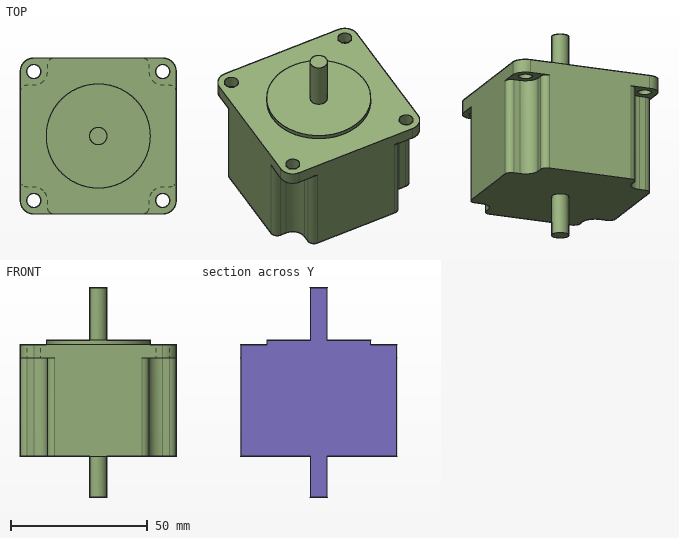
import cadquery as cq

total_length = 76.7
flange_width = 57.15
flange_thickness = 5.0
flange_corner_radius = 5.0
body_length = 36.0
pilot_diameter = 38.1
pilot_height = 1.6
shaft_diameter = 6.4
rear_shaft_length = 14.95
hole_diameter = 5.1
hole_spacing = 47.2
relief_radius = 5.0
relief_edge_radius = 2.5

half_width = flange_width / 2
hole_offset = hole_spacing / 2
flange_top = body_length + flange_thickness


def make_body():
    """Square body whose corners are cut back to clear the mounting screws."""
    body = cq.Workplane("XY").rect(flange_width, flange_width).extrude(body_length)
    notch_inner = hole_offset - relief_radius
    notch_width = half_width - notch_inner
    notch_center = (half_width + notch_inner) / 2
    for side_x in (-1, 1):
        for side_y in (-1, 1):
            notch = (
                cq.Workplane("XY")
                .center(side_x * notch_center, side_y * notch_center)
                .rect(notch_width, notch_width)
                .extrude(body_length)
            )
            inner_edge = cq.selectors.NearestToPointSelector(
                (side_x * notch_inner, side_y * notch_inner, body_length / 2)
            )
            body = body.cut(notch.edges(inner_edge).fillet(relief_radius))

    outer_edges = body.edges("|Z").edges("<X or >X or <Y or >Y")
    return outer_edges.fillet(relief_edge_radius)


def make_flange():
    """Square mounting flange with rounded corners and four through holes."""
    return (
        cq.Workplane("XY", origin=(0, 0, body_length))
        .rect(flange_width, flange_width)
        .extrude(flange_thickness)
        .edges("|Z")
        .fillet(flange_corner_radius)
        .faces(">Z")
        .workplane()
        .rect(hole_spacing, hole_spacing, forConstruction=True)
        .vertices()
        .hole(hole_diameter)
    )


def make_cylinder(diameter, bottom, height):
    return cq.Workplane("XY", origin=(0, 0, bottom)).circle(diameter / 2).extrude(height)


pilot = make_cylinder(pilot_diameter, flange_top, pilot_height)
shaft = make_cylinder(shaft_diameter, -rear_shaft_length, total_length)

result = make_body().union(make_flange()).union(pilot).union(shaft)